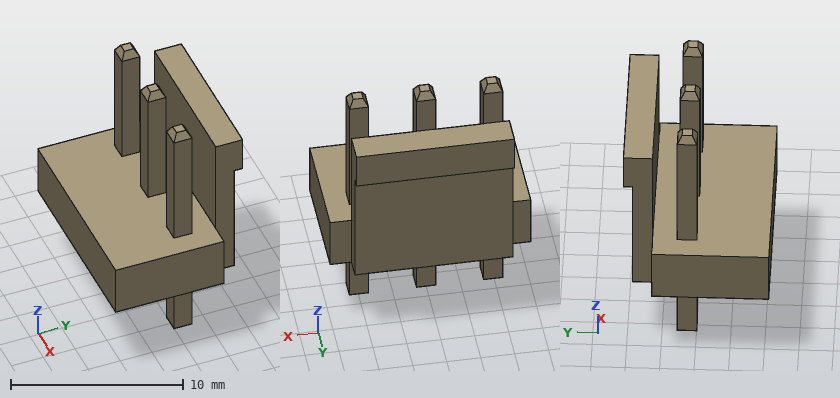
import cadquery as cq

base_width = 11.83
base_depth = 6.8
base_bottom = 3.71
base_height = 3.18

wall_width = 9.31
wall_thickness = 1.17
wall_top = 13.1
lip_thickness = 1.7
lip_height = 2.19

pin_count = 3
pin_pitch = 3.95
pin_side = 1.14
pin_length = 14.6
pin_to_wall = 2.0
tip_side = 0.58
tip_height = 0.48


def make_base():
    """Block whose rear face lies on Y = 0."""
    return (
        cq.Workplane("XY", origin=(0, 0, base_bottom))
        .rect(base_width, base_depth)
        .extrude(base_height)
        .translate((0, -base_depth / 2, 0))
    )


def make_wall():
    """Wall on the rear face of the base, with a lip overhanging backward at its top."""
    lip_bottom = wall_top - lip_height
    profile = [
        (0, base_bottom),
        (wall_thickness, base_bottom),
        (wall_thickness, lip_bottom),
        (lip_thickness, lip_bottom),
        (lip_thickness, wall_top),
        (0, wall_top),
    ]
    return cq.Workplane("YZ").polyline(profile).close().extrude(wall_width / 2, both=True)


def make_pin(x):
    """Pin passing through the base, standing on Z = 0."""
    shank_length = pin_length - tip_height
    pin = cq.Workplane("XY").rect(pin_side, pin_side).extrude(shank_length)
    tip = (
        cq.Workplane("XY", origin=(0, 0, shank_length))
        .rect(pin_side, pin_side)
        .workplane(offset=tip_height)
        .rect(tip_side, tip_side)
        .loft(ruled=True)
    )
    return pin.union(tip).translate((x, -pin_to_wall, 0))


result = make_base().union(make_wall())
for index in range(pin_count):
    pin_x = (index - (pin_count - 1) / 2) * pin_pitch
    result = result.union(make_pin(pin_x))